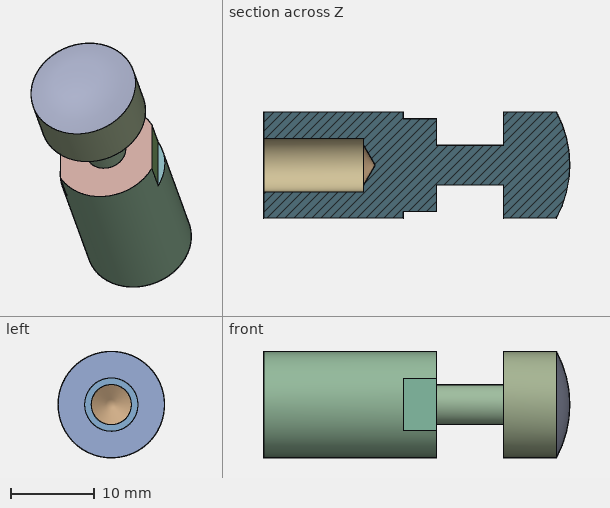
import cadquery as cq

total_length = 36.5
outer_diameter = 12.7
body_length = 20.63
neck_length = 7.95
neck_diameter = 4.8
dome_height = 1.6

flat_length = 3.98
flat_spacing = 11.1

bore_diameter = 6.35
bore_depth = 11.9
point_diameter = 4.8
point_depth = 1.4

outer_radius = outer_diameter / 2
neck_radius = neck_diameter / 2
body_start = -total_length / 2
body_end = body_start + body_length
head_start = body_end + neck_length
dome_tip = total_length / 2
dome_start = dome_tip - dome_height

dome_radius = (outer_radius**2 + dome_height**2) / (2 * dome_height)
dome_mid_radius = outer_radius / 2
dome_mid_x = dome_tip - dome_radius + (dome_radius**2 - dome_mid_radius**2) ** 0.5


def turned_blank():
    """Body, neck and domed head revolved about X."""
    profile = (
        cq.Workplane("XY")
        .moveTo(body_start, 0)
        .lineTo(body_start, outer_radius)
        .lineTo(body_end, outer_radius)
        .lineTo(body_end, neck_radius)
        .lineTo(head_start, neck_radius)
        .lineTo(head_start, outer_radius)
        .lineTo(dome_start, outer_radius)
        .threePointArc((dome_mid_x, dome_mid_radius), (dome_tip, 0))
        .close()
    )
    return profile.revolve(360, (0, 0, 0), (1, 0, 0))


def bore():
    """Cylinder with a smaller conical point at its floor."""
    floor_x = body_start + bore_depth
    profile = (
        cq.Workplane("XY")
        .moveTo(body_start, 0)
        .lineTo(body_start, bore_diameter / 2)
        .lineTo(floor_x, bore_diameter / 2)
        .lineTo(floor_x, point_diameter / 2)
        .lineTo(floor_x + point_depth, 0)
        .close()
    )
    return profile.revolve(360, (0, 0, 0), (1, 0, 0))


def flat_cutter(side):
    """Block removing the body beyond one flat; side is +1 or -1 along Y."""
    flat_depth = (outer_diameter - flat_spacing) / 2
    return cq.Workplane("XY").box(flat_length, flat_depth, outer_diameter).translate(
        (body_end - flat_length / 2, side * (flat_spacing + flat_depth) / 2, 0)
    )


result = turned_blank().cut(bore())
for side in (-1, 1):
    result = result.cut(flat_cutter(side))